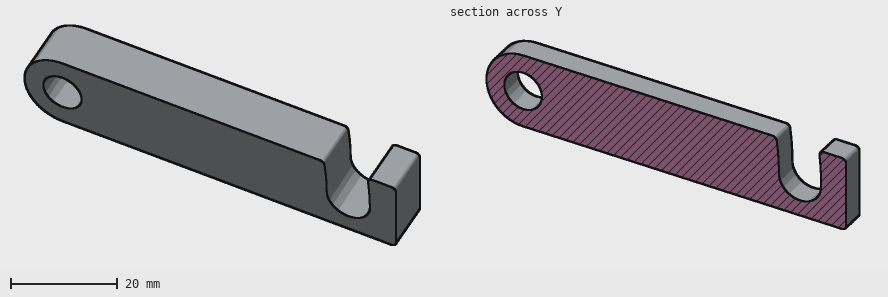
import cadquery as cq
import math

length = 78.0
height = 16.0
thickness = 9.9
hole_diameter = 8.0
slot_distance = 60.0
slot_width = 9.05
end_corner_radius = 1.0
mouth_radius = 1.0

end_radius = height / 2
pivot_to_end = length - end_radius
slot_radius = slot_width / 2


def extrude_through(sketch):
    """Extrude an XZ profile over the full thickness, centred on Y = 0."""
    return sketch.extrude(thickness / 2, both=True)


def make_lever():
    """Bar with a round end centred on the pivot at the origin."""
    outline = (
        cq.Workplane("XZ")
        .moveTo(0, end_radius)
        .lineTo(pivot_to_end, end_radius)
        .lineTo(pivot_to_end, -end_radius)
        .lineTo(0, -end_radius)
        .threePointArc((-end_radius, 0), (0, end_radius))
        .close()
    )
    return extrude_through(outline).edges("|Y and >X").fillet(end_corner_radius)


def make_slot():
    """Round-bottomed slot whose sides are arcs about the pivot."""
    inner_radius = slot_distance - slot_radius
    outer_radius = slot_distance + slot_radius
    inner_angle = math.asin(end_radius / inner_radius)
    outer_angle = math.asin(end_radius / outer_radius)

    def on_arc(radius, angle):
        return (radius * math.cos(angle), radius * math.sin(angle))

    profile = (
        cq.Workplane("XZ")
        .moveTo(inner_radius, 0)
        .threePointArc((slot_distance, -slot_radius), (outer_radius, 0))
        .threePointArc(on_arc(outer_radius, outer_angle / 2), on_arc(outer_radius, outer_angle))
        .lineTo(*on_arc(inner_radius, inner_angle))
        .threePointArc(on_arc(inner_radius, inner_angle / 2), (inner_radius, 0))
        .close()
    )
    return extrude_through(profile)


def round_slot_mouth(body):
    """Round the two top edges where the slot opens."""
    reach = slot_radius + mouth_radius
    mouth = cq.selectors.BoxSelector(
        (slot_distance - reach, -thickness, end_radius - mouth_radius / 2),
        (slot_distance + reach, thickness, end_radius + mouth_radius / 2),
    )
    return body.edges("|Y").edges(mouth).fillet(mouth_radius)


pivot_hole = extrude_through(cq.Workplane("XZ").circle(hole_diameter / 2))

result = round_slot_mouth(make_lever().cut(make_slot())).cut(pivot_hole)